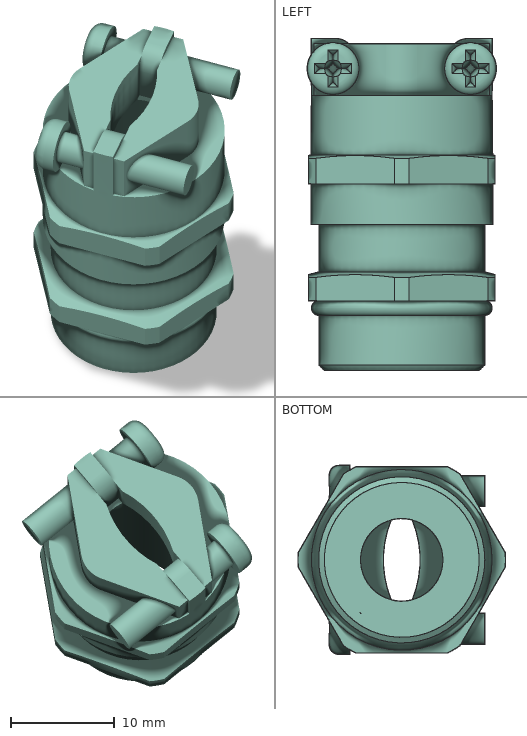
import cadquery as cq
import math

total_height = 32.0
barrel_radius = 8.0
barrel_chamfer = 0.55
bore_radius = 3.97
collar_radius = 8.77
collar_bottom = 14.05
collar_top = 26.5

lower_nut_bottom = 6.72
seal_radius = 0.7

upper_nut_bottom = 18.0
nut_across_flats = 18.0
nut_rounded_diameter = 20.0
nut_corner_radius = nut_rounded_diameter / 2
nut_height = 2.8
nut_cone_angle = math.radians(15)

tab_thickness = 2.0
tab_inner_y = 4.45
tab_round = 2.0

bar_height = 5.0
bar_end_y = 8.45
bar_end_x = 2.05
bar_side_angle = math.radians(30)
bar_nose_radius = 3.0
bar_inner_x = tab_thickness / 2
bar_hollow_x = 1.75
bar_hollow_half_length = 3.85

screw_y = 6.62
screw_z = 29.1
shank_radius = 1.5
shank_end_x = 8.0
head_radius = 2.5
head_face_x = -7.0
head_thickness = 2.0
head_round = 1.0

cross_length = 3.6
cross_width = 1.0
cross_depth = 0.9
cross_end_run = 0.5
socket_width = 1.6
socket_top_half_diagonal = 1.2
socket_floor_half_diagonal = 0.5
socket_depth = 1.6


def cylinder(radius, bottom, top):
    return cq.Workplane("XY").workplane(offset=bottom).circle(radius).extrude(top - bottom)


def make_body():
    barrel = cylinder(barrel_radius, 0, collar_bottom).faces("<Z").chamfer(barrel_chamfer)
    collar = cylinder(collar_radius, collar_bottom, collar_top)
    return barrel.union(collar)


def make_seal():
    center_z = lower_nut_bottom - seal_radius
    return (
        cq.Workplane("XZ")
        .center(barrel_radius, center_z)
        .circle(seal_radius)
        .revolve(360, (-barrel_radius, 0), (-barrel_radius, 1))
    )


def make_nut(bottom, cone_start_radius):
    """Hex nut whose top slopes down outside the given radius."""
    cone_drop = (nut_corner_radius - cone_start_radius) * math.tan(nut_cone_angle)
    across_corners = nut_across_flats / math.cos(math.pi / 6)
    hexagon = cq.Workplane("XY").polygon(6, across_corners).extrude(nut_height)
    envelope = (
        cq.Workplane("XZ")
        .moveTo(0, 0)
        .lineTo(nut_corner_radius, 0)
        .lineTo(nut_corner_radius, nut_height - cone_drop)
        .lineTo(cone_start_radius, nut_height)
        .lineTo(0, nut_height)
        .close()
        .revolve(360, (0, 0), (0, 1))
    )
    return hexagon.intersect(envelope).translate((0, 0, bottom))


def make_tab():
    """Tab on the +Y side, rounded over towards the middle."""
    round_mid = tab_round * (1 - math.sqrt(0.5))
    profile = (
        cq.Workplane("YZ")
        .workplane(offset=-tab_thickness / 2)
        .moveTo(tab_inner_y, collar_top)
        .lineTo(collar_radius, collar_top)
        .lineTo(collar_radius, total_height)
        .lineTo(tab_inner_y + tab_round, total_height)
        .threePointArc(
            (tab_inner_y + round_mid, total_height - round_mid),
            (tab_inner_y, total_height - tab_round),
        )
        .close()
        .extrude(tab_thickness)
    )
    return profile.intersect(cylinder(collar_radius, collar_top, total_height))


def make_bar():
    """Clamp bar on the +X side."""
    apex_x = bar_end_x + bar_end_y * math.tan(bar_side_angle)
    nose_center_x = apex_x - bar_nose_radius / math.cos(bar_side_angle)
    tangent_x = nose_center_x + bar_nose_radius * math.cos(bar_side_angle)
    tangent_y = bar_nose_radius * math.sin(bar_side_angle)
    return (
        cq.Workplane("XY")
        .workplane(offset=collar_top)
        .moveTo(bar_inner_x, -bar_end_y)
        .lineTo(bar_end_x, -bar_end_y)
        .lineTo(tangent_x, -tangent_y)
        .threePointArc((nose_center_x + bar_nose_radius, 0), (tangent_x, tangent_y))
        .lineTo(bar_end_x, bar_end_y)
        .lineTo(bar_inner_x, bar_end_y)
        .lineTo(bar_inner_x, bar_hollow_half_length)
        .threePointArc((bar_hollow_x, 0), (bar_inner_x, -bar_hollow_half_length))
        .close()
        .extrude(bar_height)
    )


def make_cross_arm():
    """V-groove along Y with sloped ends, cut into the plane X = 0 towards +X."""
    half_length = cross_length / 2
    half_width = cross_width / 2
    groove = (
        cq.Workplane("XZ")
        .polyline([(0, -half_width), (cross_depth, 0), (0, half_width)])
        .close()
        .extrude(half_length, both=True)
    )
    sloped_ends = (
        cq.Workplane("XY")
        .polyline([
            (0, -half_length),
            (cross_depth, cross_end_run - half_length),
            (cross_depth, half_length - cross_end_run),
            (0, half_length),
        ])
        .close()
        .extrude(half_width, both=True)
    )
    return groove.intersect(sloped_ends)


def make_socket():
    """Square funnel on its corner, tapering to its floor, with the corners cut off."""
    taper_run = (socket_top_half_diagonal - socket_floor_half_diagonal) / math.sqrt(2)
    taper = math.degrees(math.atan(taper_run / socket_depth))
    funnel = (
        cq.Workplane("YZ")
        .polygon(4, 2 * socket_top_half_diagonal)
        .extrude(socket_depth, taper=taper)
    )
    return funnel.intersect(cq.Workplane("YZ").rect(socket_width, socket_width).extrude(socket_depth))


def make_screw():
    """Screw along +X with its head face on X = 0."""
    head = cq.Workplane("YZ").circle(head_radius).extrude(head_thickness)
    head = head.faces("<X").edges().fillet(head_round)
    shank = (
        cq.Workplane("YZ")
        .workplane(offset=head_thickness)
        .circle(shank_radius)
        .extrude(shank_end_x - head_face_x - head_thickness)
    )
    screw = head.union(shank)
    arm = make_cross_arm()
    crossing_arm = arm.rotate((0, 0, 0), (1, 0, 0), 90)
    return screw.cut(make_socket()).cut(arm).cut(crossing_arm)


result = make_body().union(make_seal())
result = result.union(make_nut(lower_nut_bottom, barrel_radius))
result = result.union(make_nut(upper_nut_bottom, collar_radius))
result = result.cut(cylinder(bore_radius, 0, collar_top))

tab = make_tab()
bar = make_bar()
result = result.union(tab).union(tab.mirror("XZ"))
result = result.union(bar).union(bar.mirror("YZ"))

screw = make_screw()
for y in (-screw_y, screw_y):
    result = result.union(screw.translate((head_face_x, y, screw_z)))